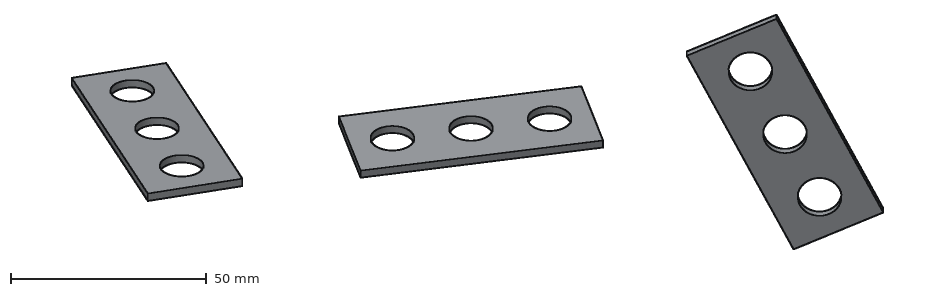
import cadquery as cq

length = 63.5
width = 25.4
thickness = 2.2

hole_diameter = 11.2
hole_spacing = 20.6
hole_count = 3

plate = cq.Workplane("XY").box(length, width, thickness)

result = (
    plate.faces(">Z")
    .workplane()
    .rarray(hole_spacing, width, hole_count, 1)
    .hole(hole_diameter)
)